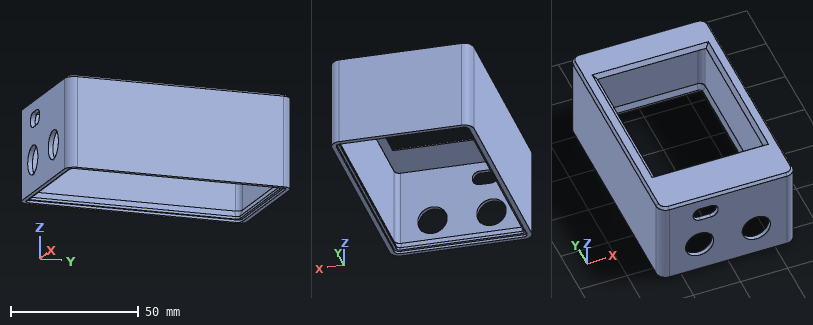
import cadquery as cq

width = 58.0
length = 94.0
height = 38.0
corner_radius = 4.0
top_chamfer = 1.0
wall = 2.0

recess_depth = 1.0
lip_width = 1.0
lip_slope_height = 2.5
lip_edge_height = 1.0
throat_radius = 1.4

window_width = 46.2
window_length = 59.1
roof = 1.6
window_offset_y = 2.5

port_diameter = 11.8
port_spacing = 24.1
port_z = 13.3
slot_length = 10.5
slot_height = 6.0
slot_x = -9.5
slot_z = 29.5


def rounded_block(inset, bottom, top, radius):
    """Vertical block with rounded corners, set inward from the shell sides by inset."""
    return (
        cq.Workplane("XY", origin=(0, 0, bottom))
        .rect(width - 2 * inset, length - 2 * inset)
        .extrude(top - bottom)
        .edges("|Z")
        .fillet(radius)
    )


def make_cavity():
    """Inside space, the sloping lip with its throat, and the cover recess below."""
    slope_bottom = recess_depth + lip_edge_height
    slope_top = slope_bottom + lip_slope_height
    inner_radius = corner_radius - wall
    main_space = rounded_block(wall, slope_top, height - roof, inner_radius)
    funnel = rounded_block(wall, slope_bottom, slope_top + lip_width, throat_radius + lip_width)
    funnel = funnel.faces("<Z").chamfer(lip_slope_height, lip_width)
    throat = rounded_block(wall + lip_width, 0, slope_bottom, throat_radius)
    recess = rounded_block(wall, 0, recess_depth, inner_radius)
    return main_space.union(funnel).union(throat).union(recess)


def make_window():
    """Rectangular opening that widens over the full roof thickness."""
    return (
        cq.Workplane("XY", origin=(0, window_offset_y, height - roof))
        .rect(window_width, window_length)
        .workplane(offset=roof)
        .rect(window_width + 2 * roof, window_length + 2 * roof)
        .loft(ruled=True)
    )


def make_front_openings():
    """Two round ports and a slot through the front wall only."""
    front = cq.Workplane("XZ", origin=(0, -length / 2, 0))
    port_centers = [(side * port_spacing / 2, port_z) for side in (-1, 1)]
    ports = front.pushPoints(port_centers).circle(port_diameter / 2).extrude(-wall)
    slot = front.center(slot_x, slot_z).slot2D(slot_length, slot_height).extrude(-wall)
    return ports.union(slot)


shell = rounded_block(0, 0, height, corner_radius).faces(">Z").chamfer(top_chamfer)
result = shell.cut(make_cavity()).cut(make_window()).cut(make_front_openings())